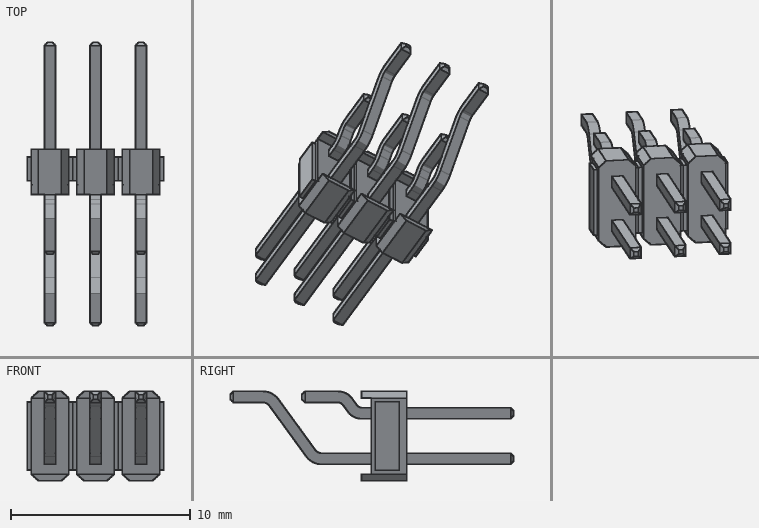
import cadquery as cq
import math


position_count = 3
row_length = 7.62
pitch = row_length / position_count

housing_width = 2.1
housing_height = 5.0
wall_depth = 2.0
flange_depth = 2.53
flange_thickness = 0.38
flange_bevel_width = 0.41
flange_overhang = flange_depth - wall_depth

tab_depth = 1.35
tab_height = 3.8
tab_rear_margin = 0.43

pin_size = 0.63
pin_row_height = pitch / 2
pin_length = 15.84
mating_end_y = 7.97
long_tail_end_y = mating_end_y - pin_length
short_tail_end_y = -3.88
long_foot = 1.82
short_foot = 2.03
foot_height = (housing_height - pin_size) / 2
long_bend_radius = 0.78
short_bend_radius = 0.67
bend_angle = math.radians(54)
tip_taper = 0.19


def make_housing():
    """Segment with bevelled flanges above and below a shallower wall, and a tab through both sides."""
    half_width = housing_width / 2
    half_height = housing_height / 2
    half_flat = half_width - flange_bevel_width
    shoulder = half_height - flange_thickness
    flanged_block = (
        cq.Workplane("XZ", origin=(0, wall_depth, 0))
        .moveTo(half_flat, half_height)
        .lineTo(half_width, shoulder)
        .lineTo(half_width, -shoulder)
        .lineTo(half_flat, -half_height)
        .lineTo(-half_flat, -half_height)
        .lineTo(-half_width, -shoulder)
        .lineTo(-half_width, shoulder)
        .lineTo(-half_flat, half_height)
        .close()
        .extrude(flange_depth)
    )
    gap_between_flanges = (
        cq.Workplane("XY")
        .box(housing_width, flange_overhang, 2 * shoulder)
        .translate((0, -flange_overhang / 2, 0))
    )
    tab_center_y = wall_depth - tab_rear_margin - tab_depth / 2
    tab = cq.Workplane("XY").box(pitch, tab_depth, tab_height).translate((0, tab_center_y, 0))
    return flanged_block.cut(gap_between_flanges).union(tab)


def make_pin(row_z, tail_end_y, foot_length, bend_radius):
    """Square pin, straight through the housing, bent up to a flat foot, tapered at both ends."""
    rise = foot_height - row_z
    arc_run = bend_radius * math.sin(bend_angle)
    arc_rise = bend_radius * (1 - math.cos(bend_angle))
    slope_run = (rise - 2 * arc_rise) / math.tan(bend_angle)
    foot_start_y = tail_end_y + foot_length
    bend_start_y = foot_start_y + 2 * arc_run + slope_run

    mid_run = bend_radius * math.sin(bend_angle / 2)
    mid_rise = bend_radius * (1 - math.cos(bend_angle / 2))
    center_line = (
        cq.Workplane("YZ")
        .moveTo(mating_end_y, row_z)
        .lineTo(bend_start_y, row_z)
        .threePointArc(
            (bend_start_y - mid_run, row_z + mid_rise),
            (bend_start_y - arc_run, row_z + arc_rise),
        )
        .lineTo(foot_start_y + arc_run, foot_height - arc_rise)
        .threePointArc(
            (foot_start_y + mid_run, foot_height - mid_rise),
            (foot_start_y, foot_height),
        )
        .lineTo(tail_end_y, foot_height)
    )
    bar = (
        cq.Workplane("XZ", origin=(0, mating_end_y, row_z))
        .rect(pin_size, pin_size)
        .sweep(center_line)
    )
    return bar.faces("<Y or >Y").chamfer(tip_taper)


def make_position():
    """One housing segment with its two pins, a single solid."""
    short_pin = make_pin(pin_row_height, short_tail_end_y, short_foot, short_bend_radius)
    long_pin = make_pin(-pin_row_height, long_tail_end_y, long_foot, long_bend_radius)
    return make_housing().union(short_pin).union(long_pin)


position = make_position()
positions = []
for index in range(position_count):
    offset_x = (index - (position_count - 1) / 2) * pitch
    positions.append(position.translate((offset_x, 0, 0)).val())

result = cq.Compound.makeCompound(positions)